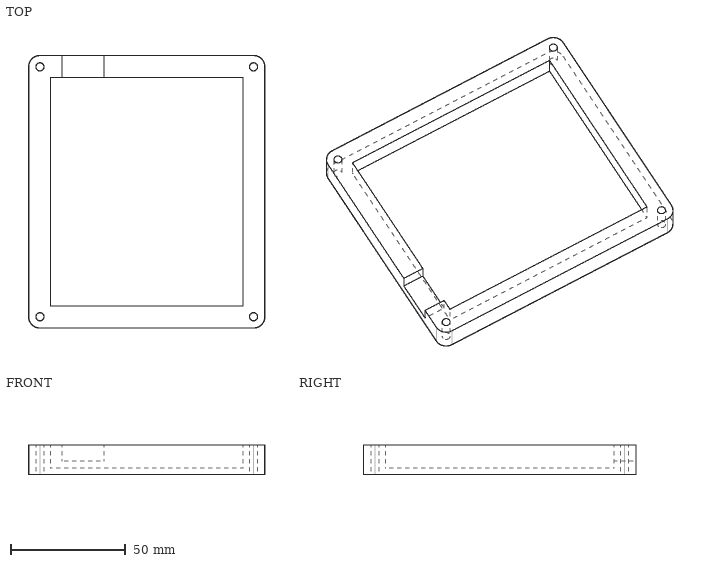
import cadquery as cq

width = 103.2
length = 119.1
height = 13.0
corner_radius = 5.0

wall = 9.6
floor = 3.0

notch_left = 14.6
notch_width = 18.3
notch_depth = 7.0

hole_diameter = 3.5


def make_block():
    """Solid block with rounded vertical corners, standing on Z = 0."""
    block = cq.Workplane("XY").box(width, length, height, centered=(True, True, False))
    return block.edges("|Z").fillet(corner_radius)


def make_pocket():
    """Rectangular cavity, open at the top, leaving the floor and walls."""
    return (
        cq.Workplane("XY", origin=(0, 0, floor))
        .rect(width - 2 * wall, length - 2 * wall)
        .extrude(height - floor)
    )


def make_notch():
    """Channel through the +Y wall, open at the top."""
    notch_center_x = -width / 2 + notch_left + notch_width / 2
    notch_center_y = length / 2 - wall / 2
    return (
        cq.Workplane("XY", origin=(notch_center_x, notch_center_y, height - notch_depth))
        .rect(notch_width, wall)
        .extrude(notch_depth)
    )


def make_screw_holes():
    """Four cylinders running the full height at the corners."""
    return (
        cq.Workplane("XY")
        .rect(width - 2 * corner_radius, length - 2 * corner_radius, forConstruction=True)
        .vertices()
        .circle(hole_diameter / 2)
        .extrude(height)
    )


result = make_block().cut(make_pocket()).cut(make_notch()).cut(make_screw_holes())